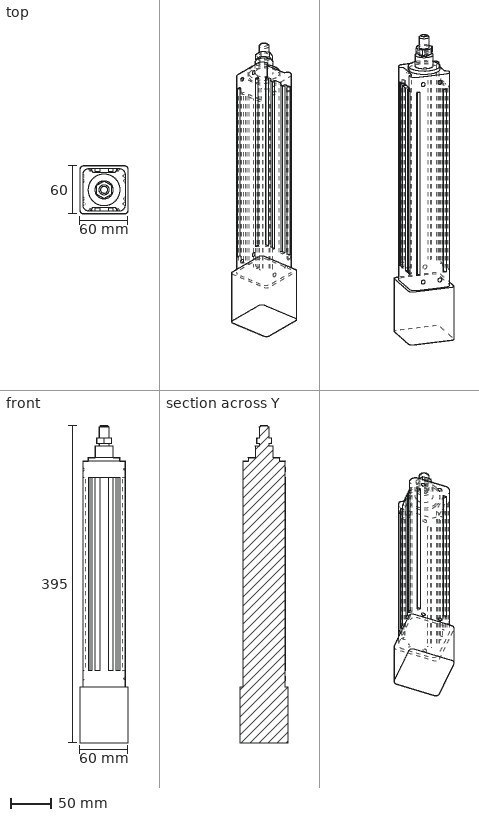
import cadquery as cq

total_height = 395.0
base_height = 70.0
body_top = 350.8
flange_top = 355.0
collar_top = 369.7
nut_bottom = 372.5
nut_top = 379.5

base_side = 60.0
base_radius = 4.7
body_side = 53.0
body_radius = 8.0
cap_height = 20.0

flange_diameter = 39.5
collar_diameter = 22.5
rod_diameter = 12.5
rod_chamfer = 2.0
nut_across_corners = 21.7

pocket_floor_width = 25.3
pocket_mouth_width = 36.7
pocket_depth = 4.7

slot_width = 6.0
slot_offset = 8.3
slot_depth = 4.0
groove_inner_edge = 15.0
groove_valley = 17.5
groove_outer_edge = 19.8
groove_depth = 3.5
dimple_diameter = 5.0
dimple_offset = 11.0
dimple_end_distance = 10.3

face = body_side / 2
profile_bottom = base_height + cap_height
profile_top = body_top - cap_height
profile_length = profile_top - profile_bottom


def rounded_block(side, radius, bottom, top):
    block = cq.Workplane("XY").workplane(offset=bottom).rect(side, side).extrude(top - bottom)
    return block.edges("|Z").fillet(radius)


def cylinder(diameter, bottom, top):
    return cq.Workplane("XY").workplane(offset=bottom).circle(diameter / 2).extrude(top - bottom)


def v_groove(side):
    """V-groove along Z in the -Y face of the body, on the side given by the sign of X."""
    points = [
        (side * groove_inner_edge, -face),
        (side * groove_outer_edge, -face),
        (side * groove_valley, -face + groove_depth),
    ]
    return cq.Workplane("XY").workplane(offset=profile_bottom).polyline(points).close().extrude(profile_length)


def sensor_slot(offset):
    """Rectangular slot along Z in the -Y face of the body."""
    plane = cq.Workplane("XY").workplane(offset=profile_bottom).center(offset, -face)
    return plane.rect(slot_width, 2 * slot_depth).extrude(profile_length)


def cap_pocket():
    """Pocket in the -Y face whose side walls are S-curves, tangent to the face and to the floor."""
    mouth = pocket_mouth_width / 2
    floor = pocket_floor_width / 2
    floor_y = -face + pocket_depth
    along_face = [(1, 0), (1, 0)]
    return (
        cq.Workplane("XY").workplane(offset=profile_top)
        .moveTo(-mouth, -face)
        .spline([(-floor, floor_y)], tangents=along_face, includeCurrent=True)
        .lineTo(floor, floor_y)
        .spline([(mouth, -face)], tangents=along_face, includeCurrent=True)
        .close().extrude(cap_height)
    )


def dimple(offset, height):
    """Conical dimple with a 90 degree point in the -Y face of the body."""
    radius = dimple_diameter / 2
    return cq.Workplane(
        cq.Solid.makeCone(radius, 0, radius, pnt=cq.Vector(offset, -face, height), dir=cq.Vector(0, 1, 0))
    )


def cut_turned(solid, cutter, angles):
    """Cut the cutter from the solid once for each angle, turned about Z."""
    for angle in angles:
        solid = solid.cut(cutter.rotate((0, 0, 0), (0, 0, 1), angle))
    return solid


y_faces = (0, 180)
x_faces = (90, 270)

body = rounded_block(body_side, body_radius, base_height, body_top)
for side in (-1, 1):
    body = cut_turned(body, v_groove(side), y_faces + x_faces)
    body = cut_turned(body, sensor_slot(side * slot_offset), y_faces)
    for height in (base_height + dimple_end_distance, body_top - dimple_end_distance):
        body = cut_turned(body, dimple(side * dimple_offset, height), x_faces)
body = cut_turned(body, cap_pocket(), y_faces)

base = rounded_block(base_side, base_radius, 0, base_height)
flange = cylinder(flange_diameter, body_top, flange_top)
collar = cylinder(collar_diameter, flange_top, collar_top)
rod = cylinder(rod_diameter, collar_top, total_height).faces(">Z").chamfer(rod_chamfer)
nut = (
    cq.Workplane("XY").workplane(offset=nut_bottom).polygon(6, nut_across_corners).extrude(nut_top - nut_bottom)
    .rotate((0, 0, 0), (0, 0, 1), 90)
)

result = base.union(body).union(flange).union(collar).union(rod).union(nut)